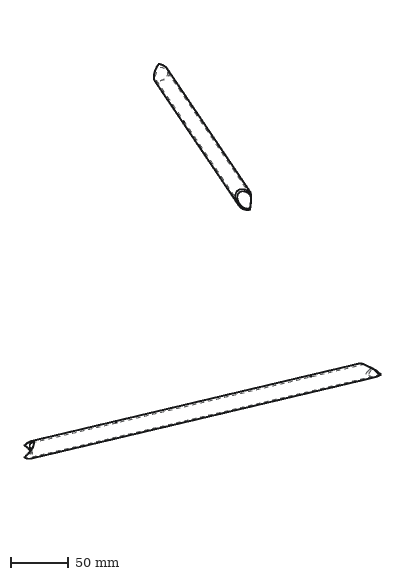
import cadquery as cq
import math

outer_diameter = 15.0
wall = 1.5
inner_diameter = outer_diameter - 2 * wall

length_x = 181.5
length_y = 273.3
side_run = 179.0
rise = 0.57
far_joint = cq.Vector(-length_x / 2, length_y / 2, 0)
axis = cq.Vector(side_run, -length_y, rise).normalized()
overrun = 13.7
tube_length = math.hypot(length_x, length_y)

crossing_axis = cq.Vector(side_run, length_y, 0)

near_mitres = [
    (321.0, cq.Vector(-0.07, -0.78, 0.62)),
    (331.2, cq.Vector(0.96, 0.22, 0.15)),
    (326.0, cq.Vector(0.16, -0.99, -0.04)),
]
trim_size = 8 * outer_diameter


def rod(diameter, start, direction, length):
    """Solid cylinder from a start point along a direction."""
    plane = cq.Plane(origin=start, normal=direction)
    return cq.Workplane(plane).circle(diameter / 2).extrude(length)


def raw_tube():
    start = far_joint - axis * overrun
    length = tube_length + 2 * overrun
    outside = rod(outer_diameter, start, axis, length)
    return outside.cut(rod(inner_diameter, start, axis, length))


def crossing_tube():
    """Solid cylinder with the outline of the tube that meets the far end."""
    half_length = 4 * outer_diameter
    direction = crossing_axis.normalized()
    return rod(outer_diameter, far_joint - direction * half_length, direction, 2 * half_length)


def beyond_mitre(distance, normal):
    """Block on the outer side of a mitre plane."""
    plane = cq.Plane(origin=far_joint + axis * distance, normal=normal)
    return cq.Workplane(plane).rect(trim_size, trim_size).extrude(trim_size)


trimmed = raw_tube().cut(crossing_tube())
for distance, normal in near_mitres:
    trimmed = trimmed.cut(beyond_mitre(distance, normal))

result = cq.Workplane(max(trimmed.solids().vals(), key=lambda piece: piece.Volume()))